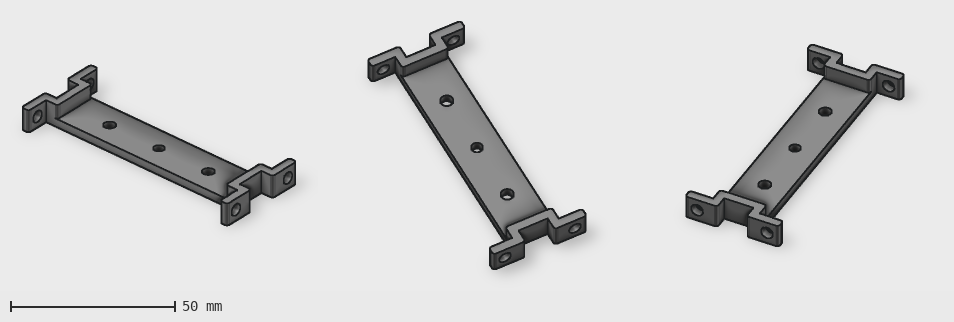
import cadquery as cq

length = 83.2
width = 32.0
height = 8.0

plate_width = 16.0
thickness = 3.0
recess_depth = 4.6
outer_radius = 1.0

mount_hole_diameter = 4.0
center_hole_diameter = 3.6
plate_hole_offset = 20.0
ear_hole_offset = 12.0

end_x = -length / 2
ear_back_x = end_x + thickness
recess_x = end_x + recess_depth
wall_x = recess_x + thickness
half_width = width / 2
half_plate = plate_width / 2
half_recess = half_plate - thickness


def round_edges(body, points, radius):
    """Fillet the vertical edges at the given points and at their mirror images in Y."""
    for x, y in points:
        for side in (1, -1):
            selector = cq.selectors.NearestToPointSelector((x, side * y, height / 2))
            body = body.edges("|Z").edges(selector).fillet(radius)
    return body


def make_bracket():
    """Hat-shaped wall with two drilled ears at the -X end."""
    half_outline = [
        (recess_x, half_recess),
        (end_x, half_recess),
        (end_x, half_width),
        (ear_back_x, half_width),
        (ear_back_x, half_plate),
        (wall_x, half_plate),
    ]
    mirrored_outline = [(x, -y) for x, y in reversed(half_outline)]
    body = cq.Workplane("XY").polyline(half_outline + mirrored_outline).close().extrude(height)

    convex_corners = [half_outline[i] for i in (1, 2, 3, 5)]
    body = round_edges(body, convex_corners, outer_radius)

    ear_holes = (
        cq.Workplane("YZ", origin=(end_x, 0, height / 2))
        .pushPoints([(-ear_hole_offset, 0), (ear_hole_offset, 0)])
        .circle(mount_hole_diameter / 2)
        .extrude(thickness)
    )
    return body.cut(ear_holes)


def make_plate():
    """Flat plate between the recesses, with a row of three holes."""
    return (
        cq.Workplane("XY")
        .box(-2 * recess_x, plate_width, thickness, centered=(True, True, False))
        .faces(">Z").workplane()
        .pushPoints([(-plate_hole_offset, 0), (plate_hole_offset, 0)])
        .hole(mount_hole_diameter)
        .faces(">Z").workplane()
        .hole(center_hole_diameter)
    )


bracket = make_bracket()
result = make_plate().union(bracket).union(bracket.mirror("YZ"))